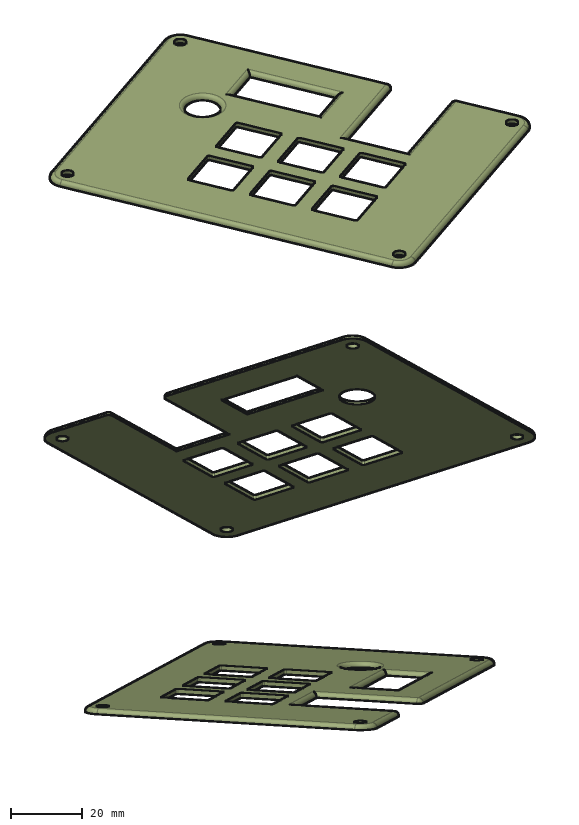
import cadquery as cq

plate_width = 112.0
plate_depth = 86.0
plate_thickness = 1.5
corner_radius = 5.0
wall_sliver = 0.001
edge_round = plate_thickness - wall_sliver

screw_diameter = 3.4
screw_span_x = plate_width - 2 * corner_radius
screw_span_y = plate_depth - 2 * corner_radius

notch_left = 12.1
notch_right = 30.6
notch_floor = 12.0
notch_mouth_radius = 1.5

window_width = 26.5
window_depth = 11.8
window_center = (-13.25, 25.5)

knob_diameter = 10.0
knob_center = (-31.45, 10.25)

key_size = 14.0
key_pitch = 19.05
key_columns = 3
key_rows = 2
key_grid_center = (6.9, -10.5)
key_corner_radius = 0.5


def plate_blank():
    """Rounded rectangle standing on z = 0."""
    blank = cq.Workplane("XY").rect(plate_width, plate_depth).extrude(plate_thickness)
    return blank.edges("|Z").fillet(corner_radius)


def notch_cutter():
    """Block that removes the notch, reaching exactly to the +Y edge."""
    width = notch_right - notch_left
    length = plate_depth / 2 - notch_floor
    center_x = (notch_left + notch_right) / 2
    return (
        cq.Workplane("XY")
        .center(center_x, notch_floor + length / 2)
        .rect(width, length)
        .extrude(plate_thickness)
    )


def round_notch_mouth(body):
    """Round the two vertical edges where the notch opens through the +Y edge."""
    for x in (notch_left, notch_right):
        mouth_edge = cq.selectors.NearestToPointSelector((x, plate_depth / 2, plate_thickness / 2))
        body = body.edges("|Z").edges(mouth_edge).fillet(notch_mouth_radius)
    return body


def window_cutter():
    return cq.Workplane("XY").center(*window_center).rect(window_width, window_depth).extrude(plate_thickness)


def knob_cutter():
    return cq.Workplane("XY").center(*knob_center).circle(knob_diameter / 2).extrude(plate_thickness)


def screw_cutters():
    return (
        cq.Workplane("XY")
        .rect(screw_span_x, screw_span_y, forConstruction=True)
        .vertices()
        .circle(screw_diameter / 2)
        .extrude(plate_thickness)
    )


def key_cutters():
    return (
        cq.Workplane("XY")
        .center(*key_grid_center)
        .rarray(key_pitch, key_pitch, key_columns, key_rows)
        .rect(key_size, key_size)
        .extrude(plate_thickness)
        .edges("|Z")
        .fillet(key_corner_radius)
    )


plate = round_notch_mouth(plate_blank().cut(notch_cutter()))
plate = plate.cut(window_cutter()).cut(knob_cutter())

plate = plate.faces(">Z").edges().fillet(edge_round)

result = plate.cut(key_cutters()).cut(screw_cutters())